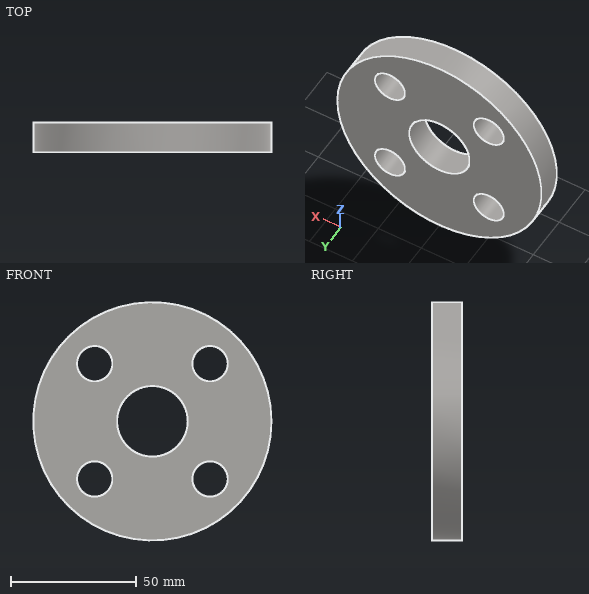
import cadquery as cq

flange_diameter = 95.0
flange_thickness = 12.0
bore_diameter = 28.0
bolt_hole_diameter = 14.0
bolt_circle_diameter = 65.0
bolt_hole_count = 4
first_bolt_angle = 45.0

disc = (
    cq.Workplane("XZ")
    .circle(flange_diameter / 2)
    .circle(bore_diameter / 2)
    .extrude(flange_thickness)
)

bolt_holes = (
    cq.Workplane("XZ")
    .polarArray(bolt_circle_diameter / 2, first_bolt_angle, 360, bolt_hole_count)
    .circle(bolt_hole_diameter / 2)
    .extrude(flange_thickness)
)

result = disc.cut(bolt_holes)